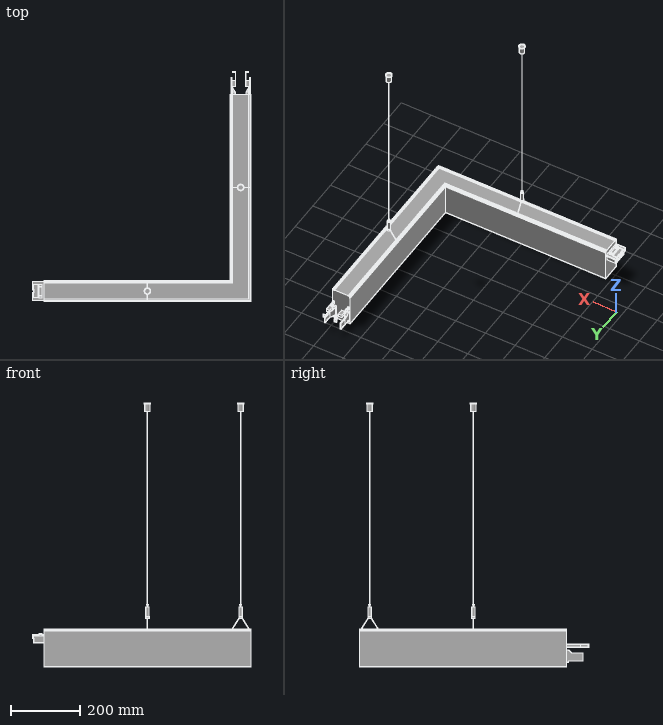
import cadquery as cq


ARM_LENGTH = 600.0
BEAM_WIDTH = 60.0
BEAM_HEIGHT = 110.0
RIM_WIDTH = 3.4
RIM_HEIGHT = 3.0
GROOVE_WIDTH = 3.4
GROOVE_DEPTH = 1.5
MID_WIDTH = BEAM_WIDTH / 2

TOTAL_HEIGHT = 763
WIRE_DIAMETER = 1.15
MOUNT_DIAMETER = 16.0
MOUNT_HEIGHT = 24.5
MOUNT_FLANGE_DIAMETER = 19.0
MOUNT_FLANGE_HEIGHT = 2.0
GRIPPER_DIAMETER = 10.0
GRIPPER_BOTTOM = 140.5
GRIPPER_HEIGHT = 33.5
GRIPPER_FOOT_HEIGHT = 5.0
GRIPPER_FOOT_DIAMETER = 11.0
COLLAR_DIAMETER = 5.7
COLLAR_HEIGHT = 1.5
NECK_DIAMETER = 3.0
NECK_HEIGHT = 4.5
WIRE_FORK_TOP = 4.0
WIRE_FORK_BOTTOM = 25.0
WIRE_SINK = 1.5
X_ARM_HANGER = (-ARM_LENGTH / 2, MID_WIDTH)
Y_ARM_HANGER = (-MID_WIDTH, (BEAM_WIDTH + ARM_LENGTH) / 2)

PLUG_REACH = 33.0
PLATE_WIDTH = 56.0
PLATE_TOP = 93.0
PLATE_THICKNESS = 4.0
LIP_LENGTH = 3.0
LIP_BOTTOM = 82.5
LIP_NOTCH_WIDTH = 8
PLUG_BLOCK_WIDTH = 44.0
PLUG_BLOCK_BOTTOM = 69.5
RIB_OFFSET = 4.5
RIB_LENGTH = 9.0
RIB_WIDTH = 6.0
RIB_TOP = 96.0
RIB_SPACING = 33.5
WINDOW_WIDTH = 24.5
RECESS_DEPTH = 2.0
RECESS_WIDTH = 38
RECESS_LAND = 3.0
SOCKET_SIZE = 3.0
SOCKET_DEPTH = 8
SOCKET_PITCH_ACROSS = 6.0
SOCKET_PITCH_UP = 6.0
SOCKET_COLUMNS = 6
SOCKET_ROWS = 2

CLIP_REACH = 66.0
CLIP_BOTTOM = 56.5
CLIP_TOP = 66.0
CLIP_BAR_LENGTH = 40.5
CLIP_BAR_INNER = 23
CLIP_BAR_OUTER = 26.0
CLIP_BLOCK_LENGTH = 18.0
SPRING_INNER = 14.5
SPRING_OUTER = 15
HOOK_OUTER = 23
HOOK_LENGTH = 3.0
TONGUE_LENGTH = 48.0
TONGUE_INNER = 25.0
TONGUE_OUTER = 28.0
TONGUE_BOTTOM = 17.0
TONGUE_TOP = 40.5
GUSSET_INNER = 15
GUSSET_LENGTH = 22.0
GUSSET_ROOT_LENGTH = 6.0
GUSSET_SHOULDER = 15
GUSSET_BOTTOM = 13.0
GUSSET_TOP = 50.0


def box(x0, x1, y0, y1, z0, z1):
    return cq.Workplane("XY").box(x1 - x0, y1 - y0, z1 - z0, centered=False).translate((x0, y0, z0))


def rod(start, end, diameter):
    direction = cq.Vector(*end) - cq.Vector(*start)
    return cq.Workplane(
        cq.Solid.makeCylinder(diameter / 2, direction.Length, cq.Vector(*start), direction)
    )


def ell(inset, bottom, height):
    """L-shaped block whose long sides stand `inset` inside the beam; its arm ends stay flush."""
    near = inset
    far = BEAM_WIDTH - inset
    outline = [
        (-near, near),
        (-near, ARM_LENGTH),
        (-far, ARM_LENGTH),
        (-far, far),
        (-ARM_LENGTH, far),
        (-ARM_LENGTH, near),
    ]
    return cq.Workplane("XY").workplane(offset=bottom).polyline(outline).close().extrude(height)


def make_beam():
    groove_top = BEAM_HEIGHT - RIM_HEIGHT
    groove_bottom = groove_top - GROOVE_WIDTH
    side_groove = ell(0, groove_bottom, GROOVE_WIDTH).cut(
        ell(GROOVE_DEPTH, groove_bottom, GROOVE_WIDTH)
    )
    top_floor = BEAM_HEIGHT - GROOVE_DEPTH
    top_groove = ell(RIM_WIDTH, top_floor, GROOVE_DEPTH).cut(
        ell(RIM_WIDTH + GROOVE_WIDTH, top_floor, GROOVE_DEPTH)
    )
    return ell(0, 0, BEAM_HEIGHT).cut(side_groove).cut(top_groove)


def make_hanger(position, fork_direction):
    """Ceiling mount, wire, gripper and the two lower wires spreading along `fork_direction`."""
    x, y = position

    def post(bottom, top, diameter):
        return rod((x, y, bottom), (x, y, top), diameter)

    gripper_top = GRIPPER_BOTTOM + GRIPPER_HEIGHT
    collar_bottom = gripper_top + NECK_HEIGHT
    foot_top = GRIPPER_BOTTOM + GRIPPER_FOOT_HEIGHT
    mount_bottom = TOTAL_HEIGHT - MOUNT_HEIGHT
    hanger = post(foot_top, gripper_top, GRIPPER_DIAMETER)
    hanger = hanger.union(post(GRIPPER_BOTTOM, foot_top, GRIPPER_FOOT_DIAMETER))
    hanger = hanger.union(post(gripper_top, collar_bottom, NECK_DIAMETER))
    hanger = hanger.union(post(collar_bottom, collar_bottom + COLLAR_HEIGHT, COLLAR_DIAMETER))
    hanger = hanger.union(post(gripper_top, mount_bottom + WIRE_SINK, WIRE_DIAMETER))
    hanger = hanger.union(post(mount_bottom, TOTAL_HEIGHT, MOUNT_DIAMETER))
    flange_bottom = TOTAL_HEIGHT - MOUNT_FLANGE_HEIGHT
    hanger = hanger.union(post(flange_bottom, TOTAL_HEIGHT, MOUNT_FLANGE_DIAMETER))

    dx, dy = fork_direction

    def fork_point(offset, height):
        return (x + offset * dx, y + offset * dy, height)

    for side in (-1, 1):
        top = fork_point(side * WIRE_FORK_TOP, GRIPPER_BOTTOM + WIRE_SINK)
        foot = fork_point(side * WIRE_FORK_BOTTOM, BEAM_HEIGHT - WIRE_SINK)
        hanger = hanger.union(rod(top, foot, WIRE_DIAMETER))
    return hanger


def make_plug():
    """Plate with a drooping lip over a socket block; on top, a recess and a ribbed window."""
    arm_end = -ARM_LENGTH
    tip = arm_end - PLUG_REACH
    lip_back = tip + LIP_LENGTH
    plate_bottom = PLATE_TOP - PLATE_THICKNESS

    def across(x0, x1, width, z0, z1, middle=MID_WIDTH):
        return box(x0, x1, middle - width / 2, middle + width / 2, z0, z1)

    plug = across(tip, arm_end, PLATE_WIDTH, plate_bottom, PLATE_TOP)
    plug = plug.union(across(tip, lip_back, PLATE_WIDTH, LIP_BOTTOM, PLATE_TOP))
    plug = plug.cut(across(tip, lip_back, LIP_NOTCH_WIDTH, LIP_BOTTOM, PLATE_TOP))
    plug = plug.union(across(lip_back, arm_end, PLUG_BLOCK_WIDTH, PLUG_BLOCK_BOTTOM, plate_bottom))

    recess_floor = PLATE_TOP - RECESS_DEPTH
    rib_end = arm_end - RIB_OFFSET
    rib_start = rib_end - RIB_LENGTH
    plug = plug.cut(across(rib_start, rib_end, WINDOW_WIDTH, recess_floor, PLATE_TOP))
    plug = plug.cut(across(lip_back, rib_start - RECESS_LAND, RECESS_WIDTH, recess_floor, PLATE_TOP))
    for side in (-1, 1):
        rib_middle = MID_WIDTH + side * RIB_SPACING / 2
        plug = plug.union(across(rib_start, rib_end, RIB_WIDTH, PLATE_TOP, RIB_TOP, rib_middle))

    socket_middle_height = (PLUG_BLOCK_BOTTOM + LIP_BOTTOM) / 2
    for column in range(SOCKET_COLUMNS):
        socket_middle = MID_WIDTH + (column - (SOCKET_COLUMNS - 1) / 2) * SOCKET_PITCH_ACROSS
        for row in range(SOCKET_ROWS):
            socket_height = socket_middle_height + (row - (SOCKET_ROWS - 1) / 2) * SOCKET_PITCH_UP
            socket_bottom = socket_height - SOCKET_SIZE / 2
            socket_top = socket_bottom + SOCKET_SIZE
            socket_end = lip_back + SOCKET_DEPTH
            plug = plug.cut(
                across(lip_back, socket_end, SOCKET_SIZE, socket_bottom, socket_top, socket_middle)
            )
    return plug


def make_gusset(side):
    """Gusset at the root of a tongue, narrowing in plan and dropping in height away from the beam."""
    inner = -MID_WIDTH + side * GUSSET_INNER
    tongue_face = -MID_WIDTH + side * TONGUE_INNER
    outer = -MID_WIDTH + side * TONGUE_OUTER
    root_end = ARM_LENGTH + GUSSET_ROOT_LENGTH
    gusset_end = ARM_LENGTH + GUSSET_LENGTH
    plan = [
        (inner, ARM_LENGTH),
        (inner, root_end),
        (tongue_face, gusset_end),
        (outer, gusset_end),
        (outer, ARM_LENGTH),
    ]
    profile = [
        (ARM_LENGTH, GUSSET_BOTTOM),
        (ARM_LENGTH, GUSSET_TOP),
        (root_end, GUSSET_TOP),
        (ARM_LENGTH + GUSSET_SHOULDER, TONGUE_TOP),
        (gusset_end, TONGUE_TOP),
        (gusset_end, TONGUE_BOTTOM),
        (root_end, TONGUE_BOTTOM),
        (root_end, GUSSET_BOTTOM),
    ]
    upright = cq.Workplane("XY").polyline(plan).close().extrude(BEAM_HEIGHT)
    sideways = cq.Workplane("YZ").polyline(profile).close().extrude(-BEAM_WIDTH)
    return upright.intersect(sideways)


def make_arm_end_side(side):
    """Clip above and tongue below, on the side of the Y arm given by `side` (-1 or 1)."""

    def strip(inner, outer, start, end, z0, z1):
        x0, x1 = sorted(-MID_WIDTH + side * offset for offset in (inner, outer))
        return box(x0, x1, ARM_LENGTH + start, ARM_LENGTH + end, z0, z1)

    def clip_strip(inner, outer, start, end):
        return strip(inner, outer, start, end, CLIP_BOTTOM, CLIP_TOP)

    block_start = CLIP_BAR_LENGTH - CLIP_BLOCK_LENGTH
    clip = clip_strip(CLIP_BAR_INNER, CLIP_BAR_OUTER, 0, CLIP_BAR_LENGTH)
    clip = clip.union(clip_strip(SPRING_INNER, CLIP_BAR_OUTER, block_start, CLIP_BAR_LENGTH))
    clip = clip.union(clip_strip(SPRING_INNER, SPRING_OUTER, block_start, CLIP_REACH))
    clip = clip.union(clip_strip(SPRING_INNER, HOOK_OUTER, CLIP_REACH - HOOK_LENGTH, CLIP_REACH))

    tongue = strip(TONGUE_INNER, TONGUE_OUTER, 0, TONGUE_LENGTH, TONGUE_BOTTOM, TONGUE_TOP)
    return clip, tongue.union(make_gusset(side))


result = make_beam()
result = result.union(make_plug())
for side in (-1, 1):
    for piece in make_arm_end_side(side):
        result = result.union(piece)
result = result.union(make_hanger(X_ARM_HANGER, (0, 1)))
result = result.union(make_hanger(Y_ARM_HANGER, (1, 0)))